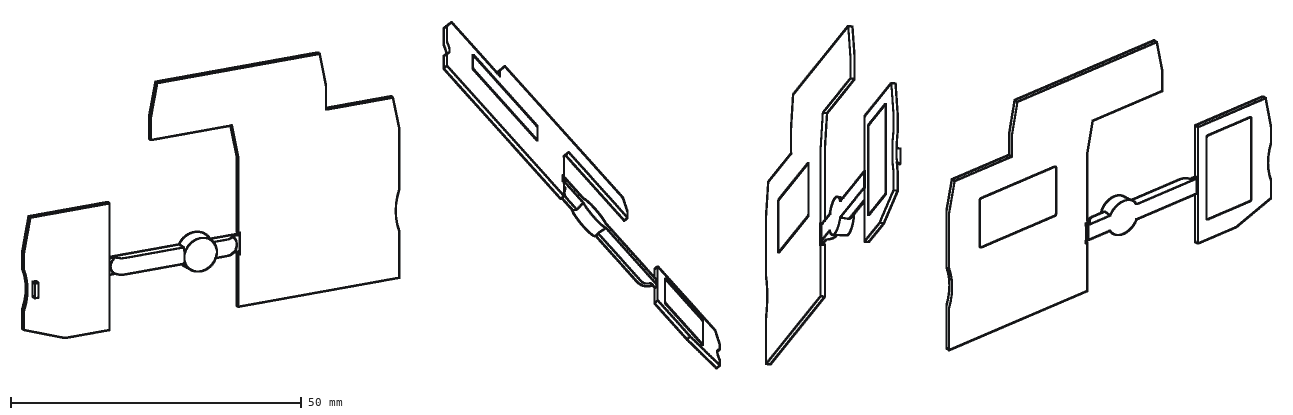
import cadquery as cq

plate_thickness = 0.8
total_depth = 2.5
half_length = 35.85
height = 44.4

main_right = 5.1
step_z = 33.8
arm_left = 21.9
arm_right = -11.6
arm_bottom = 34.0
edge_slant = 1.2
main_slant_bottom = 27.8
arm_slant_bottom = 38.15
finger_depth = 0.68
main_finger_top = 16.5
main_finger_bottom = 8.7

small_left = -19.5
small_top = 23.6
small_slant_bottom = 17.2
small_finger_top = 14.05
small_finger_bottom = 6.45
small_corner_y = -28.0
small_corner_z = 2.9

label_long = 17.0
label_short = 10.0
label_depth = 0.1
label_radius = 0.35
main_label_center = (20.5, 23.0)
small_label_center = (-26.45, 12.55)

bar_z = 11.75
bar_width = 3.1
bar_end_gap = 0.2
bar_end_radius = 2.4
bar_crown = 0.85
bar_base_thickness = 0.65
tongue_recess = 0.1
socket_depth = 0.3
socket_width = 4.0
grip_y = -2.95
grip_radius = 3.335
grip_draft = 5.0

pin_y = -33.9
pin_z = 10.25
pin_thickness = 0.7
pin_width = 2.7
pin_length = 1.0


def block(x_start, x_end, y_start, y_end, z_center, width):
    """Box between two X and two Y positions, centred in Z."""
    size_x = x_end - x_start
    size_y = y_end - y_start
    box = cq.Workplane("XY").box(size_x, size_y, width)
    return box.translate((x_start + size_x / 2, y_start + size_y / 2, z_center))


def make_main_plate():
    finger_mid = (main_finger_top + main_finger_bottom) / 2
    outline = (
        cq.Workplane("YZ")
        .moveTo(half_length, 0)
        .lineTo(half_length, main_finger_bottom)
        .threePointArc((half_length - finger_depth, finger_mid), (half_length, main_finger_top))
        .lineTo(half_length, main_slant_bottom)
        .lineTo(half_length - edge_slant, step_z)
        .lineTo(arm_left, step_z)
        .lineTo(arm_left, arm_slant_bottom)
        .lineTo(arm_left - edge_slant, height)
        .lineTo(arm_right + edge_slant, height)
        .lineTo(arm_right, arm_slant_bottom)
        .lineTo(arm_right, arm_bottom)
        .lineTo(main_right - edge_slant, arm_bottom)
        .lineTo(main_right, main_slant_bottom)
        .lineTo(main_right, 0)
        .close()
    )
    socket = block(0, plate_thickness, main_right, main_right + socket_depth, bar_z, socket_width)
    return outline.extrude(plate_thickness).cut(socket)


def make_small_plate():
    finger_mid = (small_finger_top + small_finger_bottom) / 2
    outline = (
        cq.Workplane("YZ")
        .moveTo(small_left, 0)
        .lineTo(small_left, small_top)
        .lineTo(-half_length + edge_slant, small_top)
        .lineTo(-half_length, small_slant_bottom)
        .lineTo(-half_length, small_finger_top)
        .threePointArc((-half_length + finger_depth, finger_mid), (-half_length, small_finger_bottom))
        .lineTo(-half_length, small_corner_z)
        .lineTo(small_corner_y, 0)
        .close()
    )
    return outline.extrude(plate_thickness)


def make_label_recess(center, size_y, size_z):
    recess = cq.Workplane("YZ").center(*center).rect(size_y, size_z).extrude(label_depth)
    return recess.edges("|X").fillet(label_radius)


def bar_section(y_position):
    """Crowned bar section above the end pivots, drawn across the bar at one Y position."""
    pivot_x = total_depth - bar_end_radius
    side_x = total_depth - bar_crown
    bottom = bar_z - bar_width / 2
    top = bar_z + bar_width / 2
    return (
        cq.Workplane("XZ", origin=(pivot_x, y_position, 0))
        .moveTo(0, bottom)
        .lineTo(side_x - pivot_x, bottom)
        .threePointArc((bar_end_radius, bar_z), (side_x - pivot_x, top))
        .lineTo(0, top)
        .close()
    )


def make_bar():
    bar_start = small_left + bar_end_gap
    bar_end = main_right - bar_end_gap
    start_pivot = bar_start + bar_end_radius
    end_pivot = bar_end - bar_end_radius
    bar = bar_section(end_pivot).extrude(end_pivot - start_pivot)
    bar = bar.union(bar_section(start_pivot).revolve(90, (0, 0), (0, -1)))
    bar = bar.union(bar_section(end_pivot).revolve(90, (0, 0), (0, 1)))
    base = block(0, bar_base_thickness, bar_start, bar_end, bar_z, bar_width)
    tongue = block(
        tongue_recess, bar_base_thickness, small_left, main_right + socket_depth, bar_z, bar_width
    )
    return bar.union(base).union(tongue)


def make_grip():
    return (
        cq.Workplane("YZ")
        .center(grip_y, bar_z)
        .circle(grip_radius)
        .extrude(total_depth, taper=grip_draft)
    )


def make_pin():
    return block(
        plate_thickness, plate_thickness + pin_length,
        pin_y - pin_thickness / 2, pin_y + pin_thickness / 2,
        pin_z, pin_width,
    )


result = (
    make_main_plate()
    .union(make_small_plate())
    .union(make_bar())
    .union(make_grip())
    .union(make_pin())
    .cut(make_label_recess(main_label_center, label_long, label_short))
    .cut(make_label_recess(small_label_center, label_short, label_long))
)